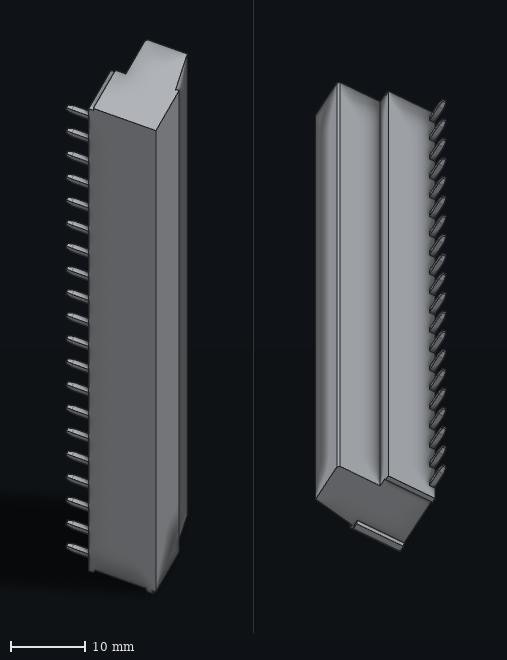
import cadquery as cq

total_height = 100.6
total_depth = 13.8
pin_length = 3.4
body_width = 10.0

tab_height = 0.6
left_x = pin_length
right_x = left_x + body_width

base_depth = 7.2
right_step_y = 7.5
neck_left_x = left_x + 2.2
top_right_x = left_x + 8.3
slope_foot_x = right_x - 0.5
crest_chamfer = 0.3

left_tab_root = 1.0
left_tab_tip = 0.7
right_tab_root_x = right_x - 1.5
right_tab_tip_x = right_x - 1.3
right_tab_width = 0.9
notch_depth = 0.4

pin_count = 20
pin_pitch = (total_height - tab_height) / pin_count
pin_size = 0.8
pin_center_y = 0.5
pin_embed = 1.0
pin_tip_length = 0.9
pin_tip_size = 0.5
top_pin_z = total_height - pin_pitch / 2


def extrude_in_y(points, depth):
    """Extrude an XZ outline from the front face (Y = 0) towards +Y."""
    return cq.Workplane("XZ").polyline(points).close().extrude(-depth)


def make_housing():
    """Stepped terminal profile run along the full strip."""
    profile = [
        (left_x, 0),
        (right_x, 0),
        (right_x, right_step_y),
        (slope_foot_x, right_step_y),
        (top_right_x, total_depth),
        (neck_left_x + crest_chamfer, total_depth),
        (neck_left_x, total_depth - crest_chamfer),
        (neck_left_x, base_depth),
        (left_x, base_depth),
    ]
    return (
        cq.Workplane("XY", origin=(0, 0, tab_height))
        .polyline(profile)
        .close()
        .extrude(total_height - tab_height)
    )


def make_left_tab():
    return extrude_in_y(
        [
            (left_x, 0),
            (left_x + left_tab_tip, 0),
            (left_x + left_tab_root, tab_height),
            (left_x, tab_height),
        ],
        base_depth,
    )


def make_right_tab():
    return extrude_in_y(
        [
            (right_tab_root_x, tab_height),
            (right_tab_tip_x, 0),
            (right_tab_tip_x + right_tab_width, 0),
            (right_tab_root_x + right_tab_width, tab_height),
        ],
        base_depth,
    )


def make_top_notch():
    floor_z = total_height - notch_depth
    return extrude_in_y(
        [
            (left_x, floor_z),
            (left_x + left_tab_tip, floor_z),
            (left_x + left_tab_tip, total_height),
            (left_x, total_height),
        ],
        base_depth,
    )


def make_pin(z):
    """Square pin pointing to -X, tapered at its free end."""
    shank_length = pin_length - pin_tip_length + pin_embed
    shank = cq.Workplane("YZ", origin=(pin_tip_length, pin_center_y, z)).rect(pin_size, pin_size)
    tip = (
        cq.Workplane("YZ", origin=(0, pin_center_y, z))
        .rect(pin_tip_size, pin_tip_size)
        .workplane(offset=pin_tip_length)
        .rect(pin_size, pin_size)
        .loft()
    )
    return shank.extrude(shank_length).union(tip)


result = make_housing().union(make_left_tab()).union(make_right_tab()).cut(make_top_notch())
for index in range(pin_count):
    result = result.union(make_pin(top_pin_z - index * pin_pitch))